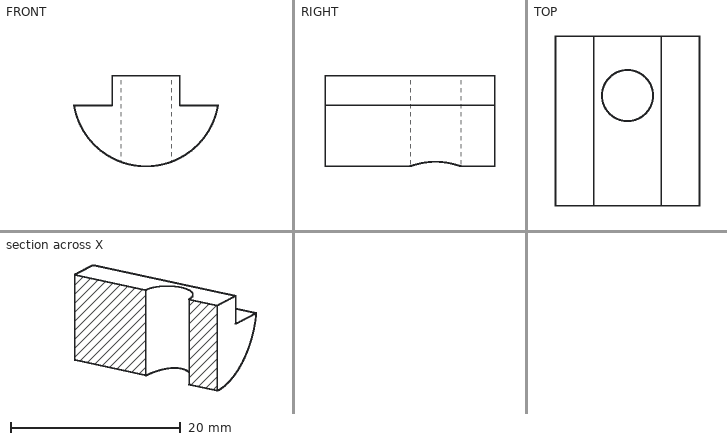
import cadquery as cq

length = 20.0
width = 17.0
height = 10.7

rib_width = 8.0
rib_height = 3.5

hole_diameter = 6.0
hole_from_back = 7.0

shoulder_z = height - rib_height
hole_y = length / 2 - hole_from_back

profile = (
    cq.Workplane("XZ", origin=(0, length / 2, 0))
    .moveTo(-width / 2, shoulder_z)
    .threePointArc((0, 0), (width / 2, shoulder_z))
    .lineTo(rib_width / 2, shoulder_z)
    .lineTo(rib_width / 2, height)
    .lineTo(-rib_width / 2, height)
    .lineTo(-rib_width / 2, shoulder_z)
    .close()
)
body = profile.extrude(length)

hole = (
    cq.Workplane("XY")
    .center(0, hole_y)
    .circle(hole_diameter / 2)
    .extrude(height)
)

result = body.cut(hole)